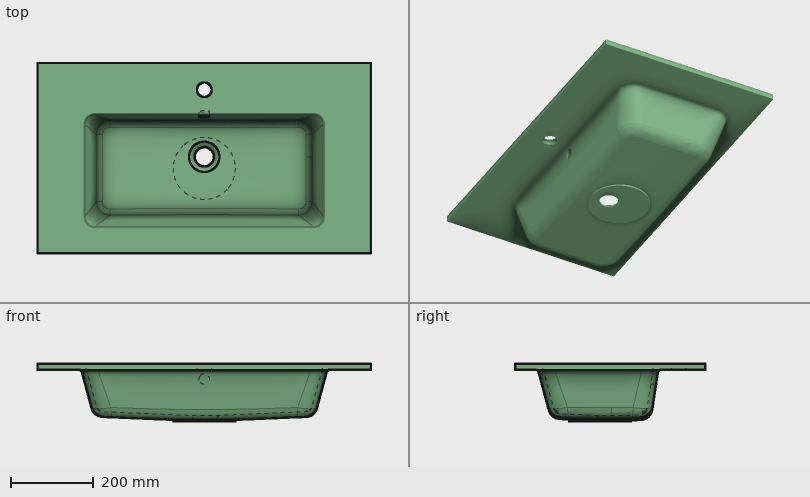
import cadquery as cq


deck_length = 805.0
deck_width = 460.0
deck_thickness = 15.0
deck_edge_radius = 2.0
total_height = 140.0

cavity_half_length = 288.0
cavity_back = 105.5
cavity_front = -166.0
cavity_corner_radius = 24.0
cavity_rim_radius = 2.5
cavity_floor_fillet = 16.0

wall_thickness = 13.0
skin_corner_radius = 39.0
skin_floor_fillet = 30.5
skin_deck_fillet = 6.0

side_lean = 0.27
back_lean = 0.15
front_lean = 0.27
corner_growth = 0.08

drain_y = 3.0
floor_depth_at_drain = 126.0
floor_thickness = 13.0
floor_slope = 0.042
floor_reach = 362.0
wall_overrun = 16.0

tap_hole_diameter = 35.0
tap_hole_y = 165.0
drain_diameter = 46.0
drain_sink_diameter = 73.0
drain_sink_bottom_depth = 136.0
overflow_diameter = 25.0
overflow_depth = 37.0
pad_diameter = 150.0
pad_y = -25.0

wall_depth = total_height + wall_overrun


def bowl_outline(half_length, back, front, corner_radius, depth):
    """Rounded rectangle of a bowl surface at the given depth."""
    length = 2 * (half_length - side_lean * depth)
    back_y = back - back_lean * depth
    front_y = front + front_lean * depth
    radius = corner_radius + corner_growth * depth
    outline = cq.Sketch().rect(length, back_y - front_y).vertices().fillet(radius)
    return outline.moved(cq.Location(cq.Vector(0, (back_y + front_y) / 2, -depth)))


def below_floor(drain_depth):
    """Everything under a conical floor that is deepest at the drain."""
    rim_z = floor_slope * floor_reach - drain_depth
    return (
        cq.Workplane("XZ", origin=(0, drain_y, 0))
        .moveTo(0, -drain_depth)
        .lineTo(floor_reach, rim_z)
        .lineTo(floor_reach, -wall_depth)
        .lineTo(0, -wall_depth)
        .close()
        .revolve(360, (0, 0), (0, 1))
    )


def bowl(growth, corner_radius, drain_depth, floor_fillet):
    """Solid bowl with leaning walls, a conical floor and a rounded floor edge."""
    size = (cavity_half_length + growth, cavity_back + growth, cavity_front - growth, corner_radius)
    top = bowl_outline(*size, 0)
    bottom = bowl_outline(*size, wall_depth)
    walls = cq.Workplane("XY").placeSketch(top, bottom).loft(ruled=True)
    floored = walls.cut(below_floor(drain_depth))
    floor_edges = floored.faces("%CONE").edges()
    return floored.newObject(floor_edges.vals()).fillet(floor_fillet)


def cylinder(diameter, y, top_depth, bottom_depth):
    """Upright cylinder on the part's centre plane."""
    return (
        cq.Workplane("XY", origin=(0, y, -bottom_depth))
        .circle(diameter / 2)
        .extrude(bottom_depth - top_depth)
    )


def slab(top_depth, bottom_depth):
    """Rectangular block over the whole deck area, between two depths."""
    base = cq.Workplane("XY", origin=(0, 0, -bottom_depth)).rect(deck_length, deck_width)
    return base.extrude(bottom_depth - top_depth)


def make_deck():
    """Deck plate with its top and upright edges rounded."""
    return slab(0, deck_thickness).edges("|Z or >Z").fillet(deck_edge_radius)


def make_drain():
    """Conical sink narrowing into a straight bore."""
    bore_radius = drain_diameter / 2
    sink_radius = drain_sink_diameter / 2
    return (
        cq.Workplane("XZ", origin=(0, drain_y, 0))
        .moveTo(0, 0)
        .lineTo(sink_radius, 0)
        .lineTo(sink_radius, -floor_depth_at_drain + floor_slope * sink_radius)
        .lineTo(bore_radius, -drain_sink_bottom_depth)
        .lineTo(bore_radius, -wall_depth)
        .lineTo(0, -wall_depth)
        .close()
        .revolve(360, (0, 0), (0, 1))
    )


def make_overflow():
    """Bore through the back wall, starting inside the cavity."""
    start_y = cavity_back / 2
    return (
        cq.Workplane("XZ", origin=(0, start_y, -overflow_depth))
        .circle(overflow_diameter / 2)
        .extrude(start_y - cavity_back - 2 * wall_thickness)
    )


skin = bowl(wall_thickness, skin_corner_radius, floor_depth_at_drain + floor_thickness, skin_floor_fillet)
basin = make_deck().union(skin.intersect(slab(deck_thickness / 2, wall_depth)))

underside = basin.faces("|Z").faces(">Z[-2]")
basin = basin.newObject(underside.val().innerWires()[0].Edges()).fillet(skin_deck_fillet)

pad = cylinder(pad_diameter, pad_y, floor_depth_at_drain, total_height)
cavity = bowl(0, cavity_corner_radius, floor_depth_at_drain, cavity_floor_fillet)
basin = basin.union(pad).cut(cavity)
rim = basin.faces(">Z").val().innerWires()[0]
basin = basin.newObject(rim.Edges()).fillet(cavity_rim_radius)

tap_hole = cylinder(tap_hole_diameter, tap_hole_y, 0, total_height)
result = basin.cut(make_drain()).cut(make_overflow()).cut(tap_hole)